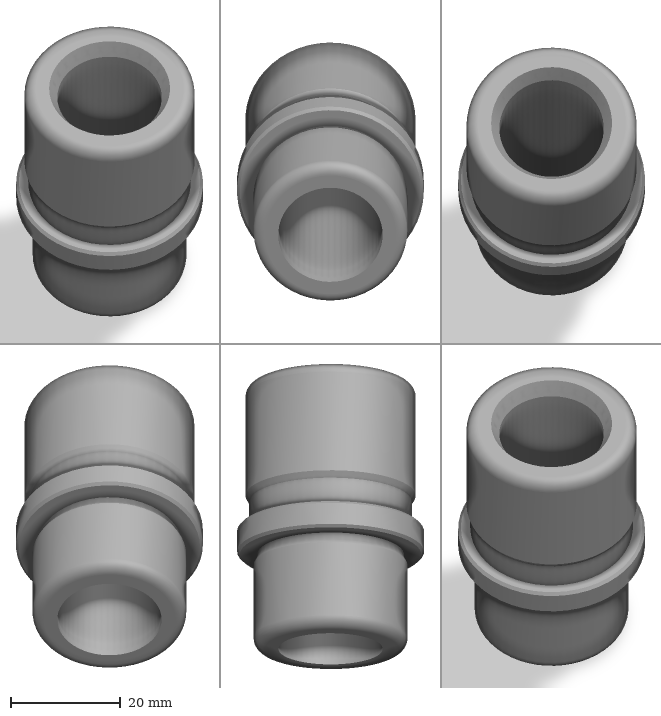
import cadquery as cq
import math

height = 50
head_radius = 15.5
flange_radius = 17
tail_radius = 14
neck_radius = 14.8
bore_radius = 9.5

flange_bottom = 18
flange_top = 23
neck_top = 28

end_round = 2
flange_chamfer = 0.5
head_taper_height = 1.2
relief_height = 2
relief_depth = 0.65
relief_radius = (relief_height**2 + relief_depth**2) / (2 * relief_depth)
mouth_radius = 11
mouth_angle = 30
mouth_depth = (mouth_radius - bore_radius) / math.tan(math.radians(mouth_angle))

outside = (
    cq.Workplane("XZ")
    .lineTo(tail_radius - end_round, 0)
    .radiusArc((tail_radius, end_round), -end_round)
    .lineTo(tail_radius, flange_bottom - relief_height)
    .radiusArc((tail_radius - relief_depth, flange_bottom), relief_radius)
    .lineTo(flange_radius - flange_chamfer, flange_bottom)
    .lineTo(flange_radius, flange_bottom + flange_chamfer)
    .lineTo(flange_radius, flange_top - flange_chamfer)
    .lineTo(flange_radius - flange_chamfer, flange_top)
    .lineTo(neck_radius, flange_top)
    .lineTo(neck_radius, neck_top)
    .lineTo(head_radius, neck_top + head_taper_height)
    .lineTo(head_radius, height - end_round)
    .radiusArc((head_radius - end_round, height), -end_round)
    .lineTo(0, height)
    .close()
    .revolve(360, (0, 0), (0, 1))
)

bore = (
    cq.Workplane("XZ")
    .lineTo(bore_radius, 0)
    .lineTo(bore_radius, height - mouth_depth)
    .lineTo(mouth_radius, height)
    .lineTo(0, height)
    .close()
    .revolve(360, (0, 0), (0, 1))
)

result = outside.cut(bore)